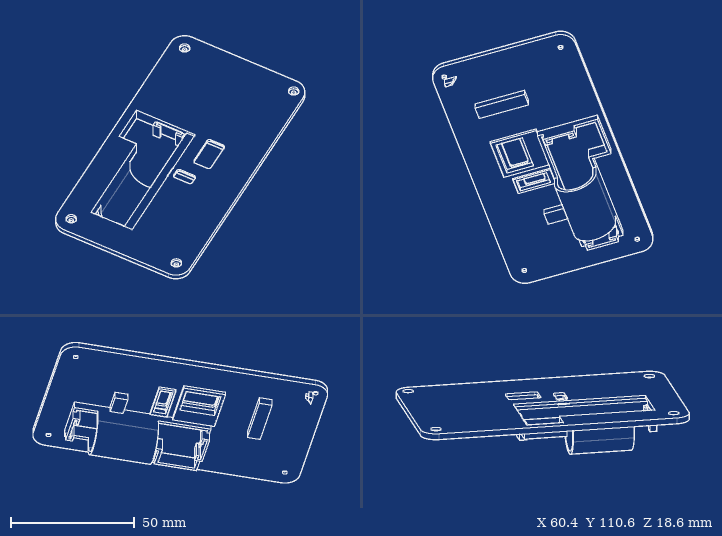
import cadquery as cq


plate_width = 60.4
plate_length = 110.6
plate_thickness = 2.5
corner_radius = 6.3
skin = 1.2
underside = -plate_thickness

screw_diameter = 1.9
head_diameter = 4.2
head_depth = 1.2
screw_centers = [(6.3, 6.3), (54.3, 6.3), (6.3, 104.3), (55.4, 105.5)]

bay_left, bay_right = 11.8, 26.7
bay_bottom, bay_top = 13.0, 67.4
notch_left, notch_bottom = 3.9, 52.3
door_recess_right = 30.6

rim_depth = 3.1
rim_notch_wall = 1.3
rim_side_wall = 1.4
rim_bottom_wall = 1.4
rim_left = bay_left - rim_side_wall
rim_right = bay_right + rim_side_wall
rim_bottom, rim_top = 12.0, 68.6
rim_base = underside - rim_depth

contact_depth = 6.9
contact_left, contact_right = 12.4, 25.7
contact_arm = 1.0
contact_flange = 1.0
contact_flange_length = 3.1
contact_reach_bottom = 14.8
contact_reach_top = 65.5
contact_slot = 0.3

cradle_start, cradle_end = 21.7, 46.8
cradle_wall = 1.3
cradle_base = -18.6
cradle_side_height = 8.3
cradle_straight_end = underside - cradle_side_height

window_radius = 1.1
socket_left, socket_right = 32.5, 40.9
socket_bottom, socket_top = 44.4, 48.9
socket_pocket_side = 2.5
socket_pocket_end = 0.2
socket_relief = 0.1
socket_rim_depth = 1.0
socket_rim_wall = 1.2
switch_left, switch_right = 36.3, 44.0
switch_bottom, switch_top = 54.7, 68.0
switch_pocket_side = 1.8
switch_pocket_end = 0.4
switch_rim_depth = 1.3
switch_rim_end = 2.0

mount_right = 47.7
bar_bottom, bar_top = 84.0, 89.3
block_left, block_right = 29.1, 37.5
block_bottom = 26.5
block_length = bar_top - bar_bottom
clip_right, clip_top = 55.8, 104.3
clip_wall_bottom = clip_top - 1.5
clip_wall_left, clip_wall_corner = 51.8, 54.3
clip_ledge_bottom = 101.8
clip_ledge_left, clip_ledge_corner = 50.7, 53.2
clip_ledge_depth = 1.3


def box(x_min, x_max, y_min, y_max, z_min, z_max):
    """Block given by its limits along each axis."""
    return cq.Workplane("XY").box(
        x_max - x_min, y_max - y_min, z_max - z_min, centered=False
    ).translate((x_min, y_min, z_min))


def bay_prism(left, right, bottom, top, wide_left, wide_bottom, z_min, z_max):
    """Prism over the L-shaped bay outline."""
    main = box(left, right, bottom, top, z_min, z_max)
    return main.union(box(wide_left, right, wide_bottom, top, z_min, z_max))


def make_plate():
    """Flat plate with rounded corners."""
    plate = box(0, plate_width, 0, plate_length, underside, 0)
    return plate.edges("|Z").fillet(corner_radius)


def make_rim():
    """Wall that follows the bay outline under the plate."""
    outer = bay_prism(
        rim_left, rim_right, rim_bottom, rim_top,
        notch_left - rim_notch_wall, notch_bottom - rim_notch_wall, rim_base, underside,
    )
    inner = bay_prism(
        bay_left, bay_right, rim_bottom + rim_bottom_wall, bay_top,
        notch_left, notch_bottom, rim_base, underside,
    )
    return outer.cut(inner)


def make_contact_holder(wall_outer, wall_inner, reach, inward):
    """End wall with two L-shaped hooks; inward is the Y direction into the bay."""
    z_min = underside - contact_depth

    def slab(x_min, x_max, y_a, y_b):
        return box(x_min, x_max, min(y_a, y_b), max(y_a, y_b), z_min, underside)

    flange_back = reach - inward * contact_flange
    holder = slab(contact_left, contact_right, wall_outer, wall_inner)
    holder = holder.union(slab(contact_left, contact_left + contact_arm, wall_outer, reach))
    holder = holder.union(slab(contact_right - contact_arm, contact_right, wall_outer, reach))
    holder = holder.union(slab(contact_left, contact_left + contact_flange_length, flange_back, reach))
    return holder.union(slab(contact_right - contact_flange_length, contact_right, flange_back, reach))


def make_contact_slot(wall_inner, inward):
    """Shallow groove in an end wall between the two hook arms."""
    groove_bottom = wall_inner - inward * contact_slot
    return box(
        contact_left + contact_arm, contact_right - contact_arm,
        min(wall_inner, groove_bottom), max(wall_inner, groove_bottom),
        underside - contact_depth, underside,
    )


def make_cradle():
    """U-shaped strap: straight sides closed by an arc."""
    middle = (rim_left + rim_right) / 2

    def u_prism(left, right, base):
        return (
            cq.Workplane("XZ", origin=(0, cradle_end, 0))
            .moveTo(left, underside)
            .lineTo(left, cradle_straight_end)
            .threePointArc((middle, base), (right, cradle_straight_end))
            .lineTo(right, underside)
            .close()
            .extrude(cradle_end - cradle_start)
        )

    outer = u_prism(rim_left, rim_right, cradle_base)
    return outer.cut(u_prism(bay_left, bay_right, cradle_base + cradle_wall))


def make_window(left, right, bottom, top):
    """Round-cornered cutter through the plate."""
    opening = box(left, right, bottom, top, underside, 0)
    return opening.edges("|Z").fillet(window_radius)


def make_clip():
    """Corner clip: slanted wall with a lower slanted ledge for the board."""
    def prism(points, depth):
        return cq.Workplane("XY", origin=(0, 0, underside)).polyline(points).close().extrude(-depth)

    wall = prism(
        [(clip_wall_left, clip_top), (clip_wall_corner, clip_wall_bottom),
         (clip_right, clip_wall_bottom), (clip_right, clip_top)],
        rim_depth,
    )
    ledge = prism(
        [(clip_ledge_left, clip_top), (clip_ledge_corner, clip_ledge_bottom),
         (clip_wall_corner, clip_ledge_bottom), (clip_wall_corner, clip_top)],
        clip_ledge_depth,
    )
    return wall.union(ledge)


body = make_plate().union(make_rim()).union(make_cradle())
bottom_wall_inner = rim_bottom + rim_bottom_wall
body = body.union(make_contact_holder(rim_bottom, bottom_wall_inner, contact_reach_bottom, 1))
body = body.union(make_contact_holder(rim_top, bay_top, contact_reach_top, -1))
body = body.cut(make_contact_slot(bottom_wall_inner, 1)).cut(make_contact_slot(bay_top, -1))

body = body.union(box(bay_right, mount_right, bar_bottom, bar_top, rim_base, underside))
body = body.union(
    box(block_left, block_right, block_bottom, block_bottom + block_length, rim_base, underside)
)
body = body.union(make_clip())

socket_pocket_left = socket_left - socket_pocket_side
socket_pocket_right = socket_right + socket_pocket_side
socket_rim_base = underside - socket_rim_depth
body = body.union(box(
    socket_pocket_left - socket_rim_wall, socket_pocket_right + socket_rim_wall,
    socket_bottom - socket_rim_wall, socket_top + socket_rim_wall, socket_rim_base, underside,
))

switch_rim_base = underside - switch_rim_depth
body = body.union(box(
    rim_right, mount_right,
    switch_bottom - switch_rim_end, switch_top + switch_rim_end, switch_rim_base, underside,
))

body = body.cut(bay_prism(
    bay_left, bay_right, bay_bottom, bay_top, notch_left, notch_bottom, underside, 0,
))
body = body.cut(box(bay_right, door_recess_right, bay_bottom, bay_top, -skin, 0))

body = body.cut(make_window(socket_left, socket_right, socket_bottom, socket_top))
body = body.cut(make_window(switch_left, switch_right, switch_bottom, switch_top))
body = body.cut(box(
    door_recess_right, socket_pocket_right,
    socket_bottom - socket_pocket_end, socket_top + socket_pocket_end, socket_rim_base, -skin,
))
body = body.cut(box(
    socket_pocket_left, door_recess_right, socket_bottom, socket_top, -skin - socket_relief, -skin,
))
body = body.cut(box(
    switch_left - switch_pocket_side, switch_right + switch_pocket_side,
    switch_bottom - switch_pocket_end, switch_top + switch_pocket_end, switch_rim_base, -skin,
))

top_face = body.faces(">Z").workplane(origin=(0, 0, 0))
result = top_face.pushPoints(screw_centers).cboreHole(screw_diameter, head_diameter, head_depth)